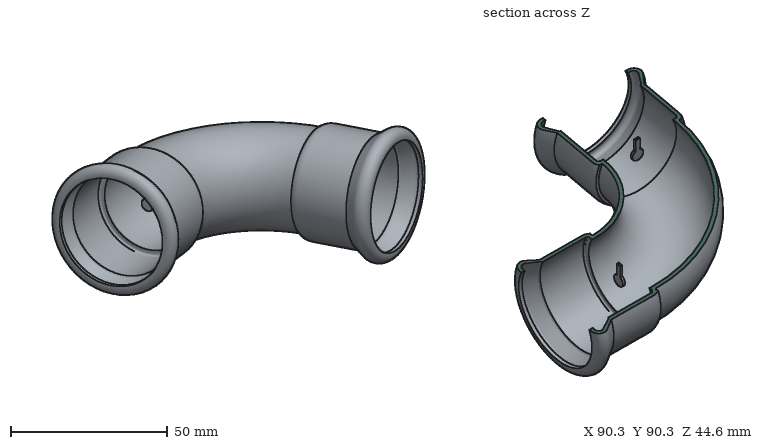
import cadquery as cq
import math

length = 90.3
lip_radius = 22.3

wall = 1.4
pipe_radius = 17.4
socket_radius = 19.3
socket_length = 28.5
pipe_bore = pipe_radius - wall
socket_bore = socket_radius - wall
axis_far = length - lip_radius
bend_radius = axis_far - socket_length

roll_radius = 3.0
roll_end = 4.7
cone_end = 8.4
mouth_radius = 18.4
step_length = 0.5

shoulder_length = 2.5
shoulder_drop = 0.8
inner_round = 0.8

disc_radius = 2.3
bar_width = 1.8
marker_thickness = 0.9

roll_center = lip_radius - roll_radius
roll_end_angle = math.asin((roll_end - roll_radius) / roll_radius)
inner_roll_radius = roll_radius - wall
seat = socket_length - wall
diagonal = math.sqrt(0.5)


def roll_point(radius, angle):
    """Point on the lip roll, with the angle taken from its widest place."""
    return (roll_center + radius * math.cos(angle), roll_radius + radius * math.sin(angle))


def revolve_y(profile):
    """Revolve a (radius, distance from mouth) profile about the Y axis."""
    return profile.close().revolve(360, (0, 0, 0), (0, 1, 0))


def socket_outside():
    shoulder_start = socket_length - shoulder_length
    shoulder_radius = socket_radius - shoulder_drop
    return revolve_y(
        cq.Workplane("XY")
        .lineTo(roll_center, 0)
        .threePointArc(roll_point(roll_radius, 0), roll_point(roll_radius, roll_end_angle))
        .lineTo(socket_radius, cone_end)
        .lineTo(socket_radius, shoulder_start)
        .tangentArcPoint((shoulder_radius, socket_length), relative=False)
        .lineTo(0, socket_length)
    )


def socket_inside():
    round_radius = socket_bore - inner_round
    round_start = seat - inner_round
    return revolve_y(
        cq.Workplane("XY")
        .lineTo(mouth_radius, 0)
        .lineTo(mouth_radius, wall)
        .lineTo(roll_center, wall)
        .threePointArc(roll_point(inner_roll_radius, 0), roll_point(inner_roll_radius, roll_end_angle))
        .lineTo(mouth_radius, cone_end - step_length)
        .lineTo(socket_bore, cone_end)
        .lineTo(socket_bore, round_start)
        .threePointArc(
            (round_radius + inner_round * diagonal, round_start + inner_round * diagonal),
            (round_radius, seat),
        )
        .lineTo(0, seat)
    )


def pipe_passage():
    return cq.Workplane("XZ", origin=(0, seat, 0)).circle(pipe_bore).extrude(-wall)


def marker():
    """Disc on the axis, hung from the seat by a narrow bar."""
    bar_length = socket_bore - inner_round
    plane = cq.Workplane("XZ", origin=(0, seat, 0))
    disc = plane.circle(disc_radius).extrude(marker_thickness)
    bar = plane.center(0, bar_length / 2).rect(bar_width, bar_length).extrude(marker_thickness)
    return disc.union(bar)


def socket():
    body = socket_outside().cut(socket_inside()).cut(pipe_passage())
    return body.union(marker())


def bend():
    """Quarter-turn pipe between the two sockets."""
    start = cq.Workplane("XZ", origin=(lip_radius, socket_length, 0))
    ring = start.circle(pipe_radius).circle(pipe_bore)
    return ring.revolve(90, (bend_radius, 0, 0), (bend_radius, -1, 0))


near_socket = socket().translate((lip_radius, 0, 0))
far_socket = socket().rotate((0, 0, 0), (0, 0, 1), 90).translate((length, axis_far, 0))
result = bend().union(near_socket).union(far_socket)